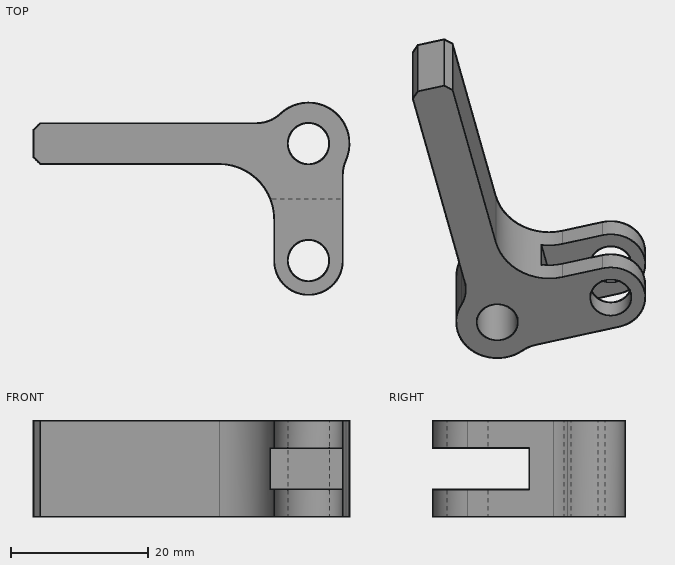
import cadquery as cq
import math

total_length = 46.0
height = 14.0
arm_width = 6.0
tip_chamfer = 1.0
pivot_radius = 6.0
fork_radius = 5.0
hole_diameter = 6.0
hole_spacing = 17.0
elbow_radius = 8.0
blend_radius = 5.0
slot_height = 6.0
slot_end_y = -8.0

half_arm = arm_width / 2
tip_x = pivot_radius - total_length
fork_y = -hole_spacing

blend_reach = pivot_radius + blend_radius
arm_blend_y = half_arm + blend_radius
arm_blend_x = -math.sqrt(blend_reach**2 - arm_blend_y**2)
leg_blend_x = fork_radius + blend_radius
leg_blend_y = -math.sqrt(blend_reach**2 - leg_blend_x**2)


def lobe_point(x, y):
    """Point where a blend centred at (x, y) touches the pivot lobe."""
    share = pivot_radius / blend_reach
    return (x * share, y * share)


def arc_middle(center, radius, start, end):
    """Middle of the shorter arc from start to end."""
    dx = (start[0] + end[0]) / 2 - center[0]
    dy = (start[1] + end[1]) / 2 - center[1]
    size = math.hypot(dx, dy)
    return (center[0] + radius * dx / size, center[1] + radius * dy / size)


def make_body():
    """Extruded bell-crank outline, drawn counterclockwise from the arm tip."""
    elbow_center = (-fork_radius - elbow_radius, -half_arm - elbow_radius)
    elbow_start = (elbow_center[0], -half_arm)
    elbow_end = (-fork_radius, elbow_center[1])
    leg_blend_start = (fork_radius, leg_blend_y)
    leg_blend_end = lobe_point(leg_blend_x, leg_blend_y)
    arm_blend_start = lobe_point(arm_blend_x, arm_blend_y)
    arm_blend_end = (arm_blend_x, half_arm)
    elbow_middle = arc_middle(elbow_center, elbow_radius, elbow_start, elbow_end)
    leg_middle = arc_middle((leg_blend_x, leg_blend_y), blend_radius, leg_blend_start, leg_blend_end)
    arm_middle = arc_middle((arm_blend_x, arm_blend_y), blend_radius, arm_blend_start, arm_blend_end)
    lobe_middle = arc_middle((0, 0), pivot_radius, leg_blend_end, arm_blend_start)
    return (
        cq.Workplane("XY")
        .moveTo(tip_x + tip_chamfer, -half_arm)
        .lineTo(*elbow_start)
        .threePointArc(elbow_middle, elbow_end)
        .lineTo(-fork_radius, fork_y)
        .threePointArc((0, fork_y - fork_radius), (fork_radius, fork_y))
        .lineTo(*leg_blend_start)
        .threePointArc(leg_middle, leg_blend_end)
        .threePointArc(lobe_middle, arm_blend_start)
        .threePointArc(arm_middle, arm_blend_end)
        .lineTo(tip_x + tip_chamfer, half_arm)
        .lineTo(tip_x, half_arm - tip_chamfer)
        .lineTo(tip_x, -half_arm + tip_chamfer)
        .close()
        .extrude(height)
    )


def make_holes():
    """Pivot hole and fork pin hole, both through the full height."""
    return (
        cq.Workplane("XY")
        .pushPoints([(0, 0), (0, fork_y)])
        .circle(hole_diameter / 2)
        .extrude(height)
    )


def make_slot():
    """Flat-ended slot that splits the leg into two equal fork ears."""
    slot_width = 2 * (fork_radius + elbow_radius)
    slot_length = slot_end_y - (fork_y - fork_radius)
    return (
        cq.Workplane("XY")
        .box(slot_width, slot_length, slot_height, centered=(True, False, True))
        .translate((0, fork_y - fork_radius, height / 2))
    )


result = make_body().cut(make_holes()).cut(make_slot())